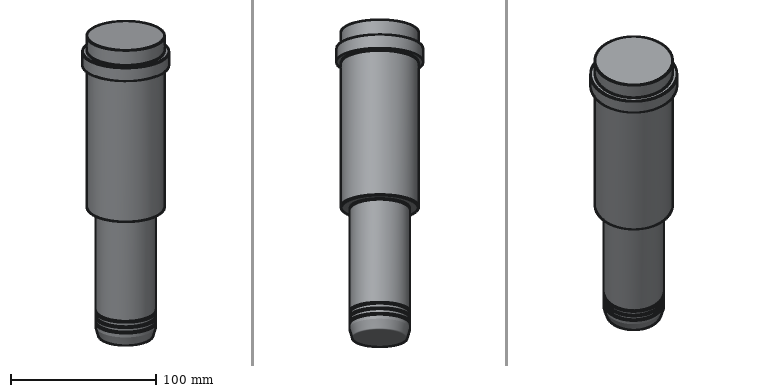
import cadquery as cq
import math

total_height = 223.0
body_bottom = 95.0
flange_bottom = 201.1
flange_height = 10.0
flange_top = flange_bottom + flange_height

flange_diameter = 60.0
body_diameter = 54.0
pin_diameter = 42.0

flange_chamfer = 0.5
body_chamfer = 0.7
top_chamfer = 0.5

pin_relief_width = 1.1
flange_relief_width = 0.7
relief_depth = 0.5

taper_height = 7.0
taper_angle = 16.0
tip_fillet = 1.0
ring_count = 3
lowest_ring_center = 10.7
ring_pitch = 4.0
ring_width = 1.3
ring_depth = 0.5


def cylinder(diameter, bottom, top):
    """Solid cylinder on the Z axis between two heights."""
    return cq.Workplane("XY").workplane(offset=bottom).circle(diameter / 2).extrude(top - bottom)


def cut_groove(solid, diameter, depth, bottom, width):
    """Cut a square groove into a shaft of the given diameter."""
    ring = cylinder(diameter, bottom, bottom + width)
    core = cylinder(diameter - 2 * depth, bottom, bottom + width)
    return solid.cut(ring.cut(core))


def cut_vee_groove(solid, radius, center):
    """Cut a V-shaped ring groove centred at the given height."""
    half_width = ring_width / 2
    vee = (
        cq.Workplane("XZ")
        .moveTo(radius - ring_depth, center)
        .lineTo(radius, center + half_width)
        .lineTo(radius, center - half_width)
        .close()
        .revolve(360, (0, 0, 0), (0, 1, 0))
    )
    return solid.cut(vee)


def make_pin():
    """Slim lower shaft with a tapered tip, ring grooves and a root relief."""
    pin_radius = pin_diameter / 2
    tip_radius = pin_radius - taper_height * math.tan(math.radians(taper_angle))
    pin = (
        cq.Workplane("XZ")
        .moveTo(0, 0)
        .lineTo(tip_radius, 0)
        .lineTo(pin_radius, taper_height)
        .lineTo(pin_radius, body_bottom)
        .lineTo(0, body_bottom)
        .close()
        .revolve(360, (0, 0, 0), (0, 1, 0))
    )
    pin = pin.faces("<Z").edges().fillet(tip_fillet)
    for index in range(ring_count):
        center = lowest_ring_center + index * ring_pitch
        pin = cut_vee_groove(pin, pin_radius, center)
    return cut_groove(pin, pin_diameter, relief_depth, body_bottom - pin_relief_width, pin_relief_width)


def make_body():
    """Thick shaft with chamfered edges and a relief on each side of the flange."""
    shaft_top = flange_bottom - flange_relief_width
    head_bottom = flange_top + flange_relief_width
    shaft = cylinder(body_diameter, body_bottom, shaft_top)
    shaft = shaft.faces("<Z").edges().chamfer(body_chamfer)
    shaft = shaft.faces(">Z").edges().chamfer(relief_depth)
    head = cylinder(body_diameter, head_bottom, total_height)
    head = head.faces(">Z").edges().chamfer(top_chamfer)
    relief_core = cylinder(body_diameter - 2 * relief_depth, shaft_top, head_bottom)
    return shaft.union(relief_core).union(head)


def make_flange():
    """Collar around the body with its top rim chamfered."""
    flange = cylinder(flange_diameter, flange_bottom, flange_top)
    return flange.faces(">Z").edges().chamfer(flange_chamfer)


result = make_pin().union(make_body()).union(make_flange())